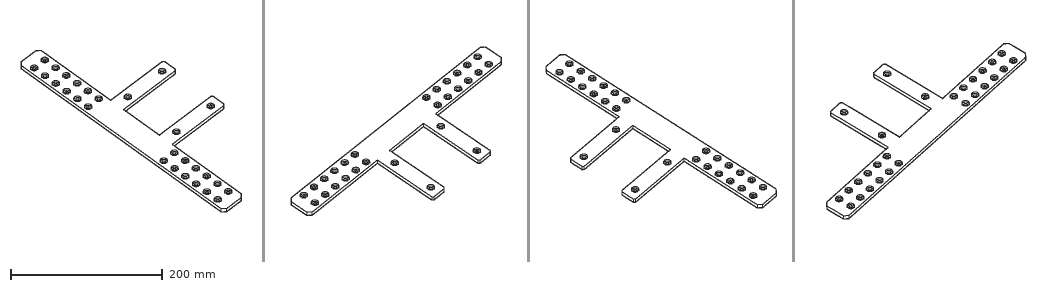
import cadquery as cq

bar_length = 380.0
bar_width = 38.0
bar_chamfer = 5.0
thickness = 6.5

overall_depth = 138.0
arm_length = overall_depth - bar_width
arm_width = 24.0
arm_spacing = 90.0
arm_pair_offset = 0.5
arm_chamfer = 2.0

hole_diameter = 5.0
head_diameter = 10.0
head_depth = 3.0

grid_columns = 6
grid_span = 100.0
grid_pitch = grid_span / (grid_columns - 1)
grid_end_margin = 20.0
grid_row_offset = grid_pitch / 2

arm_hole_end_margin = 15.0
arm_hole_spacing = 65.0

sides = (-1, 1)
arm_centers = [arm_pair_offset + side * arm_spacing / 2 for side in sides]
bar_edge_y = bar_width / 2
arm_end_y = bar_edge_y + arm_length


def chamfered_bar():
    bar = cq.Workplane("XY").box(bar_length, bar_width, thickness, centered=(True, True, False))
    return bar.edges("|Z").chamfer(bar_chamfer)


def arm(center_x):
    return (
        cq.Workplane("XY")
        .center(center_x, arm_end_y / 2)
        .rect(arm_width, arm_end_y)
        .extrude(thickness)
        .edges("|Z")
        .edges(">Y")
        .chamfer(arm_chamfer)
    )


def bar_hole_points():
    first_x = bar_length / 2 - grid_end_margin
    return [
        (side * (first_x - column * grid_pitch), row * grid_row_offset)
        for side in sides
        for column in range(grid_columns)
        for row in sides
    ]


def arm_hole_points():
    outer_y = arm_end_y - arm_hole_end_margin
    return [
        (center_x, y)
        for center_x in arm_centers
        for y in (outer_y, outer_y - arm_hole_spacing)
    ]


plate = chamfered_bar()
for center_x in arm_centers:
    plate = plate.union(arm(center_x))

result = (
    plate.faces(">Z")
    .workplane(origin=(0, 0, 0))
    .pushPoints(bar_hole_points() + arm_hole_points())
    .cboreHole(hole_diameter, head_diameter, head_depth)
)